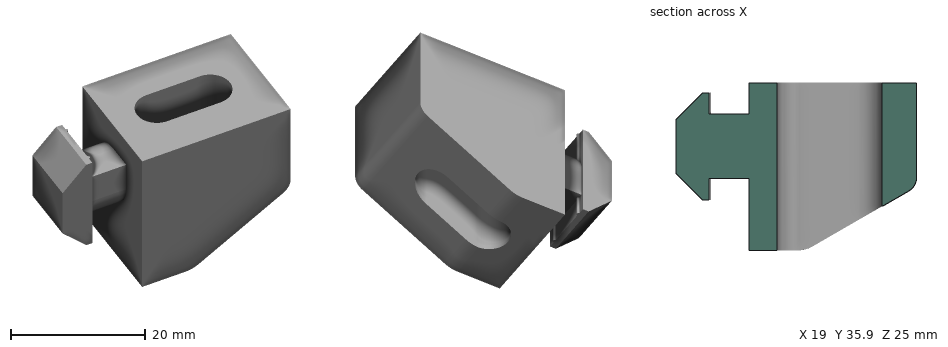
import cadquery as cq
import math

BLOCK_WIDTH = 19.0
BLOCK_DEPTH = 25.0
BLOCK_HEIGHT = 25.0
FOOT_DEPTH = 8.5
SLOPE_ANGLE = 30.0
FRONT_CORNER_RADIUS = 4.5
REAR_CORNER_RADIUS = 2.5

SLOT_WIDTH = 6.6
SLOT_LENGTH = 15.6
SLOT_CENTER_Y = 12.0

KEY_CENTER_Z = 15.5
KEY_REACH = 10.9
HEAD_WIDTH = 9.6
HEAD_HEIGHT = 16.0
HEAD_THICKNESS = 5.0
HEAD_CHAMFER = 4.0
NECK_LENGTH = KEY_REACH - HEAD_THICKNESS
NECK_WIDTH = 8.9
NECK_HEIGHT = 9.7
NECK_CORNER_RADIUS = NECK_HEIGHT / 2

RIDGE_SPACING = 6.92
RIDGE_HEIGHT = 0.3
RIDGE_BASE_WIDTH = 0.6
RIDGE_FLANK_ANGLE = 60.0


def make_block():
    slope_rise = (BLOCK_DEPTH - FOOT_DEPTH) * math.tan(math.radians(SLOPE_ANGLE))
    side_outline = [
        (0, 0),
        (FOOT_DEPTH, 0),
        (BLOCK_DEPTH, slope_rise),
        (BLOCK_DEPTH, BLOCK_HEIGHT),
        (0, BLOCK_HEIGHT),
    ]
    block = cq.Workplane("YZ").polyline(side_outline).close().extrude(BLOCK_WIDTH / 2, both=True)
    for corner, radius in zip(side_outline[1:3], (FRONT_CORNER_RADIUS, REAR_CORNER_RADIUS)):
        corner_edge = cq.selectors.NearestToPointSelector((0, *corner))
        block = block.edges(corner_edge).fillet(radius)
    return block


def make_slot():
    return (
        cq.Workplane("XY")
        .center(0, SLOT_CENTER_Y)
        .slot2D(SLOT_LENGTH, SLOT_WIDTH, 90)
        .extrude(BLOCK_HEIGHT)
    )


def make_neck():
    """Rectangular neck with two diagonally opposite corners rounded so the key can turn."""
    half_width = NECK_WIDTH / 2
    half_height = NECK_HEIGHT / 2
    neck = (
        cq.Workplane("XZ", origin=(0, 0, KEY_CENTER_Z))
        .moveTo(-half_width, -half_height)
        .lineTo(half_width - NECK_CORNER_RADIUS, -half_height)
        .radiusArc((half_width, NECK_CORNER_RADIUS - half_height), -NECK_CORNER_RADIUS)
        .lineTo(half_width, half_height)
        .lineTo(NECK_CORNER_RADIUS - half_width, half_height)
        .radiusArc((-half_width, half_height - NECK_CORNER_RADIUS), -NECK_CORNER_RADIUS)
        .close()
        .extrude(NECK_LENGTH)
    )
    return neck


def make_head():
    head_center_y = -NECK_LENGTH - HEAD_THICKNESS / 2
    return (
        cq.Workplane("XY", origin=(0, head_center_y, KEY_CENTER_Z))
        .box(HEAD_WIDTH, HEAD_THICKNESS, HEAD_HEIGHT)
        .faces("<Y")
        .edges("|X")
        .chamfer(HEAD_CHAMFER)
    )


def make_ridge(center_x):
    """Ridge with sloping flanks and a tangent round crest, as tall as the head."""
    head_bottom = KEY_CENTER_Z - HEAD_HEIGHT / 2
    flank_angle = math.radians(RIDGE_FLANK_ANGLE)
    half_base = RIDGE_BASE_WIDTH / 2
    sharp_height = half_base * math.tan(flank_angle)
    crest_radius = (sharp_height - RIDGE_HEIGHT) / (1 / math.cos(flank_angle) - 1)
    crest_half_width = crest_radius * math.sin(flank_angle)
    crest_start = RIDGE_HEIGHT - crest_radius * (1 - math.cos(flank_angle))
    return (
        cq.Workplane("XY", origin=(center_x, -NECK_LENGTH, head_bottom))
        .moveTo(-half_base, 0)
        .lineTo(half_base, 0)
        .lineTo(crest_half_width, crest_start)
        .threePointArc((0, RIDGE_HEIGHT), (-crest_half_width, crest_start))
        .close()
        .extrude(HEAD_HEIGHT)
    )


key = make_neck().union(make_head())
for side in (-1, 1):
    key = key.union(make_ridge(side * RIDGE_SPACING / 2))

result = make_block().cut(make_slot()).union(key)